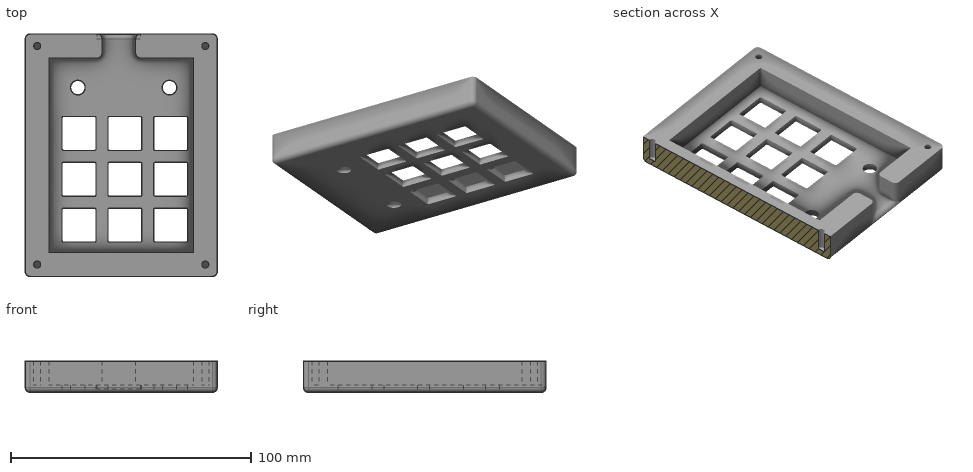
import cadquery as cq
import math

length_x = 80.0
length_y = 101.0
height = 13.0
edge_radius = 2.0

wall = 10.0
floor_thickness = 3.0
cavity_depth = height - floor_thickness

notch_width = 14.0
notch_x = -1.0
notch_corner_radius = edge_radius
sill_radius = edge_radius

key_columns = 3
key_rows = 3
key_pitch = 19.1
key_width = 14.0
key_corner_radius = 0.5
key_grid_x = 1.5
key_grid_y = -10.0

screw_diameter = 2.9
screw_inset = wall / 2
screw_depth = cavity_depth
knob_diameter = 6.0
knob_spacing = (key_columns - 1) * key_pitch
knob_x = 1.0
knob_y = key_grid_y + 2 * key_pitch


def make_body():
    body = cq.Workplane("XY").box(length_x, length_y, height, centered=(True, True, False))
    return body.edges("|Z").fillet(edge_radius).faces("<Z").edges().fillet(edge_radius)


def make_cavity():
    return (
        cq.Workplane("XY", origin=(0, 0, floor_thickness))
        .rect(length_x - 2 * wall, length_y - 2 * wall)
        .extrude(cavity_depth)
    )


def make_notch():
    """Opening whose sides flare out with a radius at both faces of the wall."""
    half_width = notch_width / 2
    flare = half_width + notch_corner_radius
    inner_y = length_y / 2 - wall
    outer_y = length_y / 2
    radius = notch_corner_radius
    blend = radius * (1 - math.sin(math.radians(45)))
    return (
        cq.Workplane("XY", origin=(notch_x, 0, floor_thickness))
        .moveTo(-flare, inner_y)
        .lineTo(flare, inner_y)
        .threePointArc((half_width + blend, inner_y + blend), (half_width, inner_y + radius))
        .lineTo(half_width, outer_y - radius)
        .threePointArc((half_width + blend, outer_y - blend), (flare, outer_y))
        .lineTo(-flare, outer_y)
        .threePointArc((-half_width - blend, outer_y - blend), (-half_width, outer_y - radius))
        .lineTo(-half_width, inner_y + radius)
        .threePointArc((-half_width - blend, inner_y + blend), (-flare, inner_y))
        .close()
        .extrude(cavity_depth)
    )


def make_sill_cutter():
    """Stock above the rounded outer edge of the floor, confined to the opening."""
    flare_width = notch_width + 2 * notch_corner_radius
    arc_y = length_y / 2 - sill_radius
    arc_z = floor_thickness - sill_radius
    stock = (
        cq.Workplane("XY", origin=(notch_x, arc_y, arc_z))
        .box(flare_width, sill_radius, sill_radius, centered=(True, False, False))
    )
    round_bar = (
        cq.Workplane("YZ", origin=(notch_x - flare_width / 2, arc_y, arc_z))
        .circle(sill_radius)
        .extrude(flare_width)
    )
    return stock.cut(round_bar)


def make_key_windows():
    return (
        cq.Workplane("XY", origin=(key_grid_x, key_grid_y, 0))
        .rarray(key_pitch, key_pitch, key_columns, key_rows)
        .rect(key_width, key_width)
        .extrude(floor_thickness)
        .edges("|Z")
        .fillet(key_corner_radius)
    )


def make_knob_holes():
    return (
        cq.Workplane("XY", origin=(knob_x, knob_y, 0))
        .rarray(knob_spacing, 1, 2, 1)
        .circle(knob_diameter / 2)
        .extrude(floor_thickness)
    )


def make_screw_holes():
    return (
        cq.Workplane("XY", origin=(0, 0, height - screw_depth))
        .rarray(length_x - 2 * screw_inset, length_y - 2 * screw_inset, 2, 2)
        .circle(screw_diameter / 2)
        .extrude(screw_depth)
    )


result = (
    make_body()
    .cut(make_cavity())
    .cut(make_notch())
    .cut(make_sill_cutter())
    .cut(make_key_windows())
    .cut(make_knob_holes())
    .cut(make_screw_holes())
)